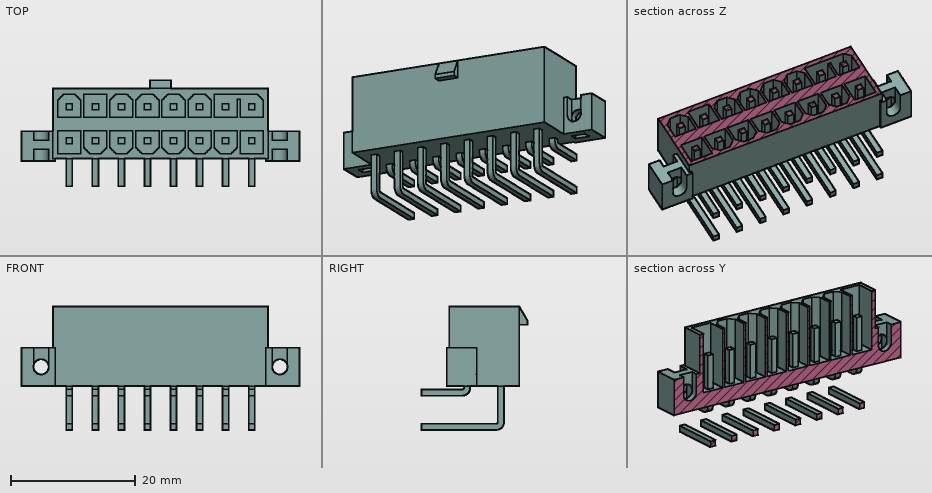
import cadquery as cq


body_width = 34.68
body_depth = 11.3
body_height = 12.8

columns = 8
contact_row_length = 29.4
pitch = contact_row_length / (columns - 1)
pin_rows_y = (2.85, 8.35)

cavity_size = 3.7
cavity_chamfer = 1.0
cavity_floor_z = 2.7
cavity_rows_y = (2.65, 8.5)
front_square_columns = (0, 7)
back_square_columns = (1, 6)
joined_columns = (6, 7)
joining_slot_depth = 0.8

pin_side = 1.05
pin_reach = 4.5
pin_drops = (1.55, 7.1)
pin_top_z = 8.5
bend_inner_radius = 0.22
bend_outer_radius = bend_inner_radius + pin_side

overall_width = 44.8
ear_inner_x = 16.95
ear_front_overhang = 0.4
ear_depth = 4.85
ear_height = 6.2
ear_hole_x = 19.2
ear_hole_z = 3.1
ear_hole_diameter = 2.4
web_thickness = 1.5
web_front_y = 1.5

latch_width = 3.4
latch_projection = 1.35
latch_height = 2.95
latch_lip = 0.65


def box(x0, x1, y0, y1, z0, z1):
    """Axis-aligned block between two opposite corners."""
    return cq.Workplane("XY").box(x1 - x0, y1 - y0, z1 - z0, centered=False).translate((x0, y0, z0))


def column_x(column):
    return (column - (columns - 1) / 2) * pitch


def make_cavity(column, row_y, chamfered_edges):
    """Square pocket; the selected vertical edges are chamfered."""
    half = cavity_size / 2
    x = column_x(column)
    cavity = box(x - half, x + half, row_y - half, row_y + half, cavity_floor_z, body_height)
    if chamfered_edges:
        cavity = cavity.edges(chamfered_edges).chamfer(cavity_chamfer)
    return cavity


def make_cavities():
    front_y, back_y = cavity_rows_y
    cavities = cq.Workplane("XY")
    for column in range(columns):
        front_edges = None if column in front_square_columns else "|Z and <Y"
        if column in back_square_columns:
            back_edges = None
        elif column in joined_columns:
            back_edges = "|Z and >Y and >X"
        else:
            back_edges = "|Z and >Y"
        cavities = cavities.add(make_cavity(column, front_y, front_edges))
        cavities = cavities.add(make_cavity(column, back_y, back_edges))

    slot_back_y = back_y + cavity_size / 2
    cavities = cavities.add(box(
        column_x(joined_columns[0]), column_x(joined_columns[1]),
        slot_back_y - joining_slot_depth, slot_back_y,
        cavity_floor_z, body_height,
    ))
    return cavities.combine()


def make_pin(x, y, drop):
    """Square pin running down through the body, then bent toward the front."""
    half = pin_side / 2
    riser = box(x - half, x + half, y - half, y + half, -drop, pin_top_z)
    leg = box(x - half, x + half, -pin_reach, y + half, -drop, pin_side - drop)
    pin = riser.union(leg)
    outer_corner = cq.selectors.NearestToPointSelector((x, y + half, -drop))
    inner_corner = cq.selectors.NearestToPointSelector((x, y - half, pin_side - drop))
    pin = pin.edges("|X").edges(outer_corner).fillet(bend_outer_radius)
    return pin.edges("|X").edges(inner_corner).fillet(bend_inner_radius)


def make_ear_slot(front_y, depth, end_z):
    """Round-ended slot on the hole axis, running vertically out to end_z."""
    radius = ear_hole_diameter / 2
    round_end = (
        cq.Workplane("XZ", origin=(ear_hole_x, front_y + depth, ear_hole_z))
        .circle(radius)
        .extrude(depth)
    )
    low_z, high_z = sorted((ear_hole_z, end_z))
    straight = box(
        ear_hole_x - radius, ear_hole_x + radius,
        front_y, front_y + depth,
        low_z, high_z,
    )
    return round_end.union(straight)


def make_right_ear():
    """Ear whose hole is formed by slots open upward, downward and upward from front to back."""
    front_y = -ear_front_overhang
    back_y = front_y + ear_depth
    web_back_y = web_front_y + web_thickness
    ear = box(ear_inner_x, overall_width / 2, front_y, back_y, 0, ear_height)
    ear = ear.cut(make_ear_slot(front_y, web_front_y - front_y, ear_height))
    ear = ear.cut(make_ear_slot(web_front_y, web_thickness, 0))
    return ear.cut(make_ear_slot(web_back_y, back_y - web_back_y, ear_height))


def make_latch():
    """Ramp falling from the top edge of the back face to a short lip."""
    bottom_z = body_height - latch_height
    tip_y = body_depth + latch_projection
    return (
        cq.Workplane("YZ", origin=(-latch_width / 2, 0, 0))
        .moveTo(body_depth, body_height)
        .lineTo(tip_y, bottom_z + latch_lip)
        .lineTo(tip_y, bottom_z)
        .lineTo(body_depth, bottom_z)
        .close()
        .extrude(latch_width)
    )


body = box(-body_width / 2, body_width / 2, 0, body_depth, 0, body_height)
right_ear = make_right_ear()
result = body.union(right_ear).union(right_ear.mirror("YZ")).union(make_latch())
result = result.cut(make_cavities())
for column in range(columns):
    for pin_y, pin_drop in zip(pin_rows_y, pin_drops):
        result = result.union(make_pin(column_x(column), pin_y, pin_drop))